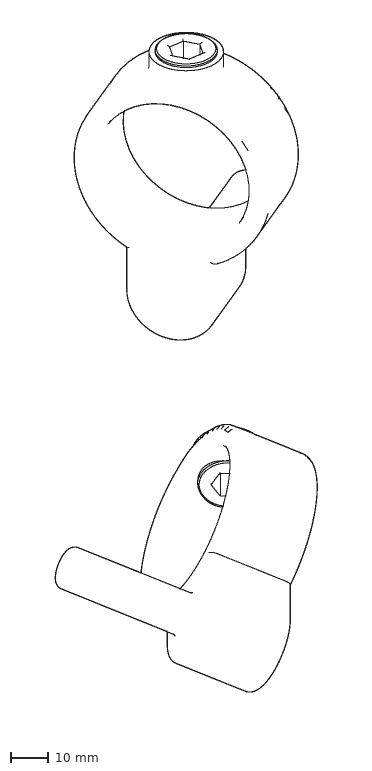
import cadquery as cq
import math

ring_outer_radius = 28.0
bore_radius = 22.0
ring_width = 25.0
edge_fillet = 2.0

lug_width = 26.0
lug_radius = lug_width / 2
lug_center_z = -38.0

pin_radius = 6.0
pin_length = 38.0

screw_radius = 8.33
screw_length = 13.0
screw_top_z = 33.5
screw_bottom_z = screw_top_z - screw_length
screw_chamfer = 0.4
socket_across_flats = 8.2
socket_mouth_width = 1.25
socket_mouth_radius = 2.0
screw_standout = 0.9

boss_radius = 10.0
boss_top_z = screw_top_z - screw_standout

half_width = ring_width / 2

root_margin = 0.5


def cylinder_along_y(radius, start_y, length, center_z=0.0):
    solid = cq.Solid.makeCylinder(radius, length, cq.Vector(0, start_y, center_z), cq.Vector(0, 1, 0))
    return cq.Workplane(solid)


def cylinder_along_z(radius, bottom_z, top_z):
    return cq.Workplane().workplane(offset=bottom_z).circle(radius).extrude(top_z - bottom_z)


def make_lug():
    """Tongue with a half-round lower end, reaching up to the ring axis."""
    profile = (
        cq.Workplane("XZ", origin=(0, half_width, 0))
        .moveTo(-lug_radius, 0)
        .lineTo(-lug_radius, lug_center_z)
        .threePointArc((0, lug_center_z - lug_radius), (lug_radius, lug_center_z))
        .lineTo(lug_radius, 0)
        .close()
    )
    return profile.extrude(ring_width)


def make_clamp():
    body = cylinder_along_y(ring_outer_radius, -half_width, ring_width).union(make_lug())
    body = body.union(cylinder_along_z(boss_radius, 0, boss_top_z))

    reach = boss_radius + root_margin
    boss_foot = cq.selectors.BoxSelector(
        (-reach, -reach, bore_radius),
        (reach, reach, ring_outer_radius + root_margin),
        boundingbox=True,
    )
    body = body.edges(boss_foot).fillet(edge_fillet)
    body = body.cut(cylinder_along_y(bore_radius, -half_width, ring_width))
    body = body.faces("<Y or >Y").edges().fillet(edge_fillet)

    body = body.union(make_pin())
    body = blend_pin_root(body)

    return body.cut(cylinder_along_z(screw_radius, 0, boss_top_z))


def make_pin():
    """Pin with a rounded free end, standing on the back face of the lug."""
    pin = cylinder_along_y(pin_radius, half_width, pin_length, lug_center_z)
    return pin.faces(">Y").edges().fillet(edge_fillet)


def blend_pin_root(body):
    reach = pin_radius + root_margin
    pin_root = cq.selectors.BoxSelector(
        (-reach, half_width - root_margin, lug_center_z - reach),
        (reach, half_width + root_margin, lug_center_z + reach),
        boundingbox=True,
    )
    return body.edges(pin_root).fillet(edge_fillet)


def make_hexagon(across_flats):
    """Hexagonal prism over the length of the screw, with two corners on the X axis."""
    across_corners = across_flats / math.cos(math.radians(30))
    return (
        cq.Workplane()
        .workplane(offset=screw_bottom_z)
        .polygon(6, across_corners)
        .extrude(screw_length)
    )


def make_screw():
    """Headless set screw with a hexagonal socket right through it."""
    screw = cylinder_along_z(screw_radius, screw_bottom_z, screw_top_z)
    screw = screw.faces("<Z or >Z").chamfer(screw_chamfer)

    mouth_across_flats = socket_across_flats + 2 * socket_mouth_width
    screw = screw.cut(make_hexagon(mouth_across_flats - 2 * socket_mouth_radius))
    screw = screw.faces(">Z").edges("%LINE").fillet(socket_mouth_radius)
    return screw.cut(make_hexagon(socket_across_flats))


clamp = make_clamp()
screw = make_screw()
result = cq.Compound.makeCompound([clamp.val(), screw.val()])